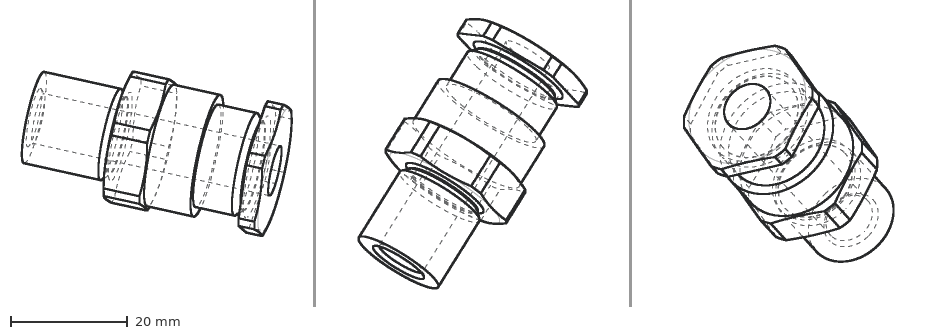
import cadquery as cq
import math

length = 42.7
spigot_end = 13.58
body_hex_start = 15.3
body_hex_end = 22.4
body_end = 30.65
neck_end = 37.55
cap_start = 39.55

across_flats = 22.0
across_corners = 24.2
spigot_radius = 8.03
body_radius = 10.68
neck_radius = 9.0
bore_radius = 4.35
bore_mouth_radius = 5.12

spigot_groove_radius = 6.95
neck_groove_radius = 7.8
groove_exit_angle = math.radians(60)
groove_floor = 0.15

corner_chamfer_angle = math.radians(17.5)

flat_radius = across_flats / 2
corner_radius = across_corners / 2


def revolve_profile(points):
    """Revolve an (x, radius) outline around the X axis."""
    return cq.Workplane("XY").polyline(points).close().revolve(360, (0, 0, 0), (1, 0, 0))


def chamfer_depth(inner_radius):
    """Axial depth of the corner chamfer running from inner_radius out to the corners."""
    return (corner_radius - inner_radius) * math.tan(corner_chamfer_angle)


def hexagon(start, end, chamfer_start, end_radius):
    """Round-cornered hexagon with flats facing +Z and -Z.

    The far end is always chamfered, down to end_radius; the near end only on request.
    """
    corner_diameter = across_flats / math.cos(math.pi / 6)
    prism = cq.Workplane("YZ", origin=(start, 0, 0)).polygon(6, corner_diameter).extrude(end - start)
    outline = [(start, 0)]
    if chamfer_start:
        outline += [(start, flat_radius), (start + chamfer_depth(flat_radius), corner_radius)]
    else:
        outline += [(start, corner_radius)]
    outline += [(end - chamfer_depth(end_radius), corner_radius), (end, end_radius), (end, 0)]
    return prism.intersect(revolve_profile(outline))


def undercut(shaft_end, shaft_radius, floor_radius, face):
    """Outline points of the relief groove between a shaft and a hexagon face."""
    floor_start = shaft_end + shaft_radius - floor_radius
    floor_end = floor_start + groove_floor
    exit_radius = floor_radius + (face - floor_end) * math.tan(groove_exit_angle)
    return [
        (shaft_end, shaft_radius),
        (floor_start, floor_radius),
        (floor_end, floor_radius),
        (face, exit_radius),
    ]


core_outline = [(0, 0), (0, spigot_radius)]
core_outline += undercut(spigot_end, spigot_radius, spigot_groove_radius, body_hex_start)
core_outline += [
    (body_hex_start, body_radius),
    (body_end, body_radius),
    (body_end, neck_radius),
]
core_outline += undercut(neck_end, neck_radius, neck_groove_radius, cap_start)
core_outline += [(cap_start, 0)]
core = revolve_profile(core_outline)

body_hex = hexagon(body_hex_start, body_hex_end, chamfer_start=True, end_radius=body_radius)
cap_hex = hexagon(cap_start, length, chamfer_start=False, end_radius=flat_radius)

bore = revolve_profile([
    (0, 0),
    (0, bore_mouth_radius),
    (bore_mouth_radius - bore_radius, bore_radius),
    (length, bore_radius),
    (length, 0),
])

result = core.union(body_hex).union(cap_hex).cut(bore)